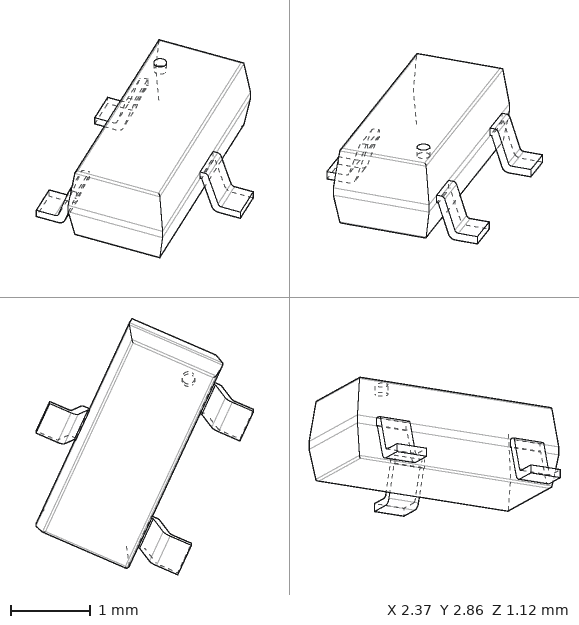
import cadquery as cq
import math

BODY_WIDTH = 1.28
BODY_LENGTH = 2.86
BODY_BOTTOM = 0.06
BODY_TOP = 1.12
DRAFT_INSET = 0.066
EDGE_RADIUS = 0.03

MARK_DIAMETER = 0.16
MARK_DEPTH = 0.12
MARK_X = -0.385

SPAN = 2.37
LEAD_WIDTH = 0.42
LEAD_THICKNESS = 0.105
LEAD_PITCH = 1.9
FOOT_LENGTH = 0.29
LEAN = math.radians(18)
FOOT_BEND_RADIUS = 0.05
HEEL_RADIUS = 0.1
SHOULDER_RADIUS = 0.05

BAND_TOP = (BODY_BOTTOM + BODY_TOP) / 2
BAND_BOTTOM = BAND_TOP - LEAD_THICKNESS
MARK_Y = LEAD_PITCH / 2


def tapered_half(start_z, height):
    """Half of the body narrowing from the parting band to an end face; negative height goes down."""
    draft = math.degrees(math.atan(DRAFT_INSET / abs(height)))
    return (
        cq.Workplane("XY")
        .workplane(offset=start_z)
        .rect(BODY_WIDTH, BODY_LENGTH)
        .extrude(height, taper=draft)
    )


def make_body():
    """Moulded body: two tapered halves on a straight band, with a round pin 1 recess in the top."""
    band = (
        cq.Workplane("XY")
        .workplane(offset=BAND_BOTTOM)
        .rect(BODY_WIDTH, BODY_LENGTH)
        .extrude(LEAD_THICKNESS)
    )
    upper = tapered_half(BAND_TOP, BODY_TOP - BAND_TOP).faces(">Z").edges().fillet(EDGE_RADIUS)
    lower = tapered_half(BAND_BOTTOM, BODY_BOTTOM - BAND_BOTTOM).faces("<Z").edges().fillet(EDGE_RADIUS)
    mark = (
        cq.Workplane("XY")
        .workplane(offset=BODY_TOP - MARK_DEPTH)
        .center(MARK_X, MARK_Y)
        .circle(MARK_DIAMETER / 2)
        .extrude(MARK_DEPTH)
    )
    return band.union(upper).union(lower).cut(mark)


def make_lead(y):
    """Gull-wing lead on the -X side, centred at y, ending flush against the parting band."""
    tip_x = -SPAN / 2
    root_x = -BODY_WIDTH / 2
    leg_slope = math.tan(LEAN)
    leg_width = LEAD_THICKNESS / math.cos(LEAN)

    foot_corner_x = tip_x + FOOT_LENGTH
    shoulder_x = foot_corner_x + (BAND_TOP - LEAD_THICKNESS) * leg_slope
    heel_x = foot_corner_x + leg_width - LEAD_THICKNESS * leg_slope
    armpit_x = heel_x + BAND_BOTTOM * leg_slope

    blank = (
        cq.Workplane("XZ", origin=(0, y, 0))
        .polyline([
            (tip_x, 0),
            (heel_x, 0),
            (armpit_x, BAND_BOTTOM),
            (root_x, BAND_BOTTOM),
            (root_x, BAND_TOP),
            (shoulder_x, BAND_TOP),
            (foot_corner_x, LEAD_THICKNESS),
            (tip_x, LEAD_THICKNESS),
        ])
        .close()
        .extrude(LEAD_WIDTH / 2, both=True)
    )

    def bend_edge(x, z):
        return cq.selectors.NearestToPointSelector((x, y, z))

    return (
        blank
        .edges(bend_edge(heel_x, 0)).fillet(HEEL_RADIUS)
        .edges(bend_edge(foot_corner_x, LEAD_THICKNESS)).fillet(FOOT_BEND_RADIUS)
        .edges(bend_edge(shoulder_x, BAND_TOP)).fillet(SHOULDER_RADIUS)
    )


body = make_body()
left_leads = [make_lead(side * LEAD_PITCH / 2) for side in (-1, 1)]
right_lead = make_lead(0).rotate((0, 0, 0), (0, 0, 1), 180)

result = cq.Compound.makeCompound([
    body.val(),
    *[lead.val() for lead in left_leads],
    right_lead.val(),
])